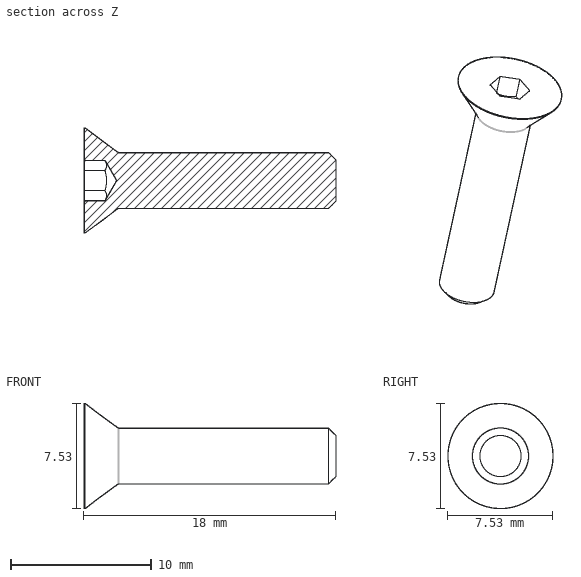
import cadquery as cq
import math

length = 18.0
shank_radius = 2.0
head_radius = 7.53 / 2
rim_thickness = 0.08
head_height = 2.45
neck_fillet = 0.15
tip_chamfer = 0.53

socket_sides = 6
socket_across_flats = 2.48
socket_wall_depth = 1.5
socket_point_angle = 120.0
socket_corner_radius = socket_across_flats / 2 / math.cos(math.pi / socket_sides)
socket_point_height = socket_corner_radius / math.tan(math.radians(socket_point_angle / 2))
socket_depth = socket_wall_depth + socket_point_height


def make_body():
    """Revolved head and shank, with a rounded neck and a chamfered tip."""
    body = (
        cq.Workplane("XY")
        .moveTo(0, 0)
        .lineTo(0, head_radius)
        .lineTo(rim_thickness, head_radius)
        .lineTo(head_height, shank_radius)
        .lineTo(length, shank_radius)
        .lineTo(length, 0)
        .close()
        .revolve(360, (0, 0, 0), (1, 0, 0))
    )
    neck = cq.selectors.BoxSelector(
        (head_height - neck_fillet, -head_radius, -head_radius),
        (head_height + neck_fillet, head_radius, head_radius),
        boundingbox=True,
    )
    body = body.edges(neck).fillet(neck_fillet)
    return body.faces(">X").edges().chamfer(tip_chamfer)


def make_socket():
    """Hexagonal prism with flats facing +Z and -Z, ending in a cone through its corners."""
    hexagon = cq.Workplane("YZ").polygon(socket_sides, 2 * socket_corner_radius).extrude(socket_depth)
    cone_ended_bore = (
        cq.Workplane("XY")
        .moveTo(0, 0)
        .lineTo(0, socket_corner_radius)
        .lineTo(socket_wall_depth, socket_corner_radius)
        .lineTo(socket_depth, 0)
        .close()
        .revolve(360, (0, 0, 0), (1, 0, 0))
    )
    return hexagon.intersect(cone_ended_bore)


result = make_body().cut(make_socket())